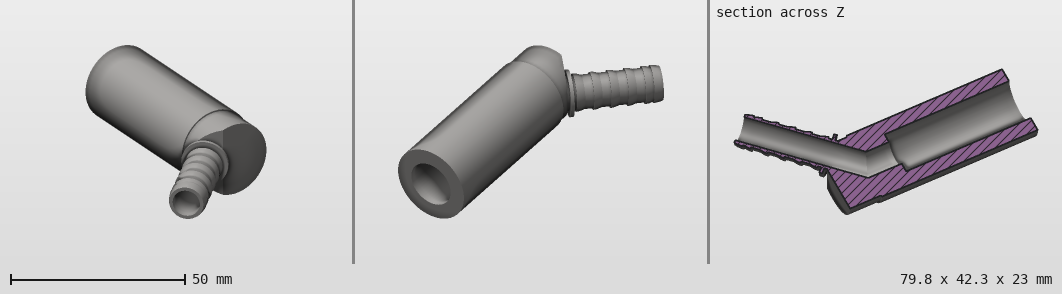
import cadquery as cq
import math

total_length = 79.8
hose_angle = 45
elbow_x = 49.0
face_distance = 10.5

body_diameter = 23.0
body_length = 50.0
neck_diameter = 22.0
neck_end = 60.0
socket_diameter = 13.7
socket_depth = 39.9
bore_diameter = 8

tube_diameter = 10.0
barb_diameter = 11.0
flange_diameter = 13.7
flange_start = 0.7
flange_thickness = 1.0
flange_end = flange_start + flange_thickness
first_barb = 2.7
barb_pitch = 5.0
barb_length = 2.5
barb_count = 5
tip_start = first_barb + (barb_count - 1) * barb_pitch + barb_length

cosine = math.cos(math.radians(hose_angle))
sine = math.sin(math.radians(hose_angle))
tip_distance = (total_length - elbow_x - tube_diameter / 2 * sine) / cosine
hose_length = tip_distance - face_distance
tip_length = hose_length - tip_start


def axis_point(distance):
    """Point on the hose axis at a distance from the elbow."""
    return (elbow_x + distance * cosine, -distance * sine, 0)


seat_center = axis_point(face_distance)
hose_direction = (cosine, -sine, 0)
seat_plane = cq.Plane(origin=seat_center, xDir=(0, 0, 1), normal=hose_direction)
hose_section = cq.Plane(origin=seat_center, xDir=(0, 0, 1), normal=(sine, cosine, 0))


def make_body():
    """Stepped cylinder with one corner sliced off square to the hose axis."""
    body = cq.Workplane("YZ").circle(body_diameter / 2).extrude(body_length)
    neck = cq.Workplane("YZ").circle(neck_diameter / 2).extrude(neck_end)
    corner = cq.Workplane(seat_plane).rect(total_length, total_length).extrude(total_length)
    return body.union(neck.cut(corner))


def make_hose():
    """Tube with a flange, evenly spaced barbs and a longer barb at the tip, all turned as one."""
    tube_radius = tube_diameter / 2
    barb_radius = barb_diameter / 2
    flange_radius = flange_diameter / 2
    barb_height = barb_radius - tube_radius

    def add_barb(outline, start, length):
        """Square step up, then a curve that leaves parallel to the axis and falls to the tube."""
        curve_radius = (length**2 + barb_height**2) / (2 * barb_height)
        outline = outline.lineTo(barb_radius, start)
        return outline.radiusArc((tube_radius, start + length), -curve_radius)

    outline = (
        cq.Workplane(hose_section)
        .lineTo(tube_radius, 0)
        .lineTo(tube_radius, flange_start)
        .lineTo(flange_radius, flange_start)
        .lineTo(flange_radius, flange_end)
        .lineTo(tube_radius, flange_end)
    )
    for index in range(barb_count):
        barb_start = first_barb + index * barb_pitch
        outline = add_barb(outline.lineTo(tube_radius, barb_start), barb_start, barb_length)
    outline = add_barb(outline, tip_start, tip_length)
    return outline.lineTo(0, hose_length).close().revolve(360, (0, 0, 0), (0, 1, 0))


def make_passage():
    """Socket in the body end and a mitred bore that runs out through the hose."""
    socket = cq.Workplane("YZ").circle(socket_diameter / 2).extrude(socket_depth)
    path = cq.Workplane("XY").polyline([(0, 0, 0), (elbow_x, 0, 0), axis_point(tip_distance)])
    bore = cq.Workplane("YZ").circle(bore_diameter / 2).sweep(path, transition="right")
    return socket.union(bore)



result = make_body().union(make_hose()).cut(make_passage())